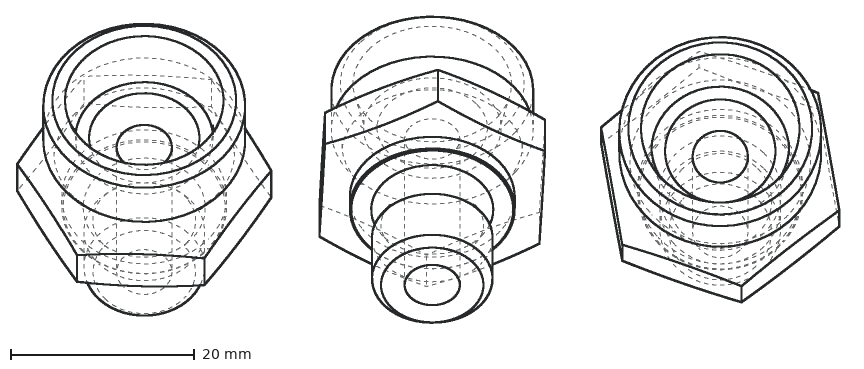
import cadquery as cq
import math

TOTAL_HEIGHT = 32.0
STUD_TOP = 7.52
STUD_GROOVE_BOTTOM = 9.0
STUD_GROOVE_TOP = 10.18
COLLAR_BOTTOM = 12.0
HEX_BOTTOM = 14.0
HEX_TOP = 20.0
NECK_BOTTOM = 21.0
NECK_TOP = 22.6
HEAD_BOTTOM = 24.65
END_CHAMFER = 1.0

STUD_RADIUS = 13.15 / 2
STUD_GROOVE_END_RADIUS = 5.75
STUD_GROOVE_THROAT_RADIUS = 5.6
STUD_CONE_TOP_RADIUS = 6.65
COLLAR_RADIUS = 18.0 / 2
COLLAR_CHAMFER = 0.15
NECK_RADIUS = 19.7 / 2
NECK_FILLET_RADIUS = 1.0
HEAD_RADIUS = 22.0 / 2

HEX_ACROSS_FLATS = 24.0
HEX_CHAMFER_ANGLE = 15.0

MOUTH_RADIUS = 8.65
SOCKET_RADIUS = 15.0 / 2
SEAT_CONE_ANGLE = 12.0
SOCKET_DEPTH = 7.0
FUNNEL_RADIUS = 6.0
BORE_RADIUS = 6.0 / 2
FUNNEL_ANGLE = 60.0


def revolve_profile(profile):
    """Turn a closed radius-height outline about the Z axis."""
    return profile.close().revolve(360, (0, 0, 0), (0, 1, 0))


def make_turned_body():
    flare = NECK_BOTTOM - HEX_TOP
    diagonal = flare * (1 - math.sqrt(0.5))

    cone_angle = math.atan((HEAD_RADIUS - NECK_RADIUS) / (HEAD_BOTTOM - NECK_TOP))
    fillet_start = NECK_TOP - NECK_FILLET_RADIUS * math.tan(cone_angle / 2)

    def neck_fillet_point(angle):
        return (
            NECK_RADIUS + NECK_FILLET_RADIUS * (1 - math.cos(angle)),
            fillet_start + NECK_FILLET_RADIUS * math.sin(angle),
        )

    return revolve_profile(
        cq.Workplane("XZ")
        .moveTo(0, 0)
        .lineTo(STUD_RADIUS - END_CHAMFER, 0)
        .lineTo(STUD_RADIUS, END_CHAMFER)
        .lineTo(STUD_RADIUS, STUD_TOP)
        .lineTo(STUD_GROOVE_END_RADIUS, STUD_GROOVE_BOTTOM)
        .threePointArc(
            (STUD_GROOVE_THROAT_RADIUS, (STUD_GROOVE_BOTTOM + STUD_GROOVE_TOP) / 2),
            (STUD_GROOVE_END_RADIUS, STUD_GROOVE_TOP),
        )
        .lineTo(STUD_CONE_TOP_RADIUS, COLLAR_BOTTOM)
        .lineTo(COLLAR_RADIUS - COLLAR_CHAMFER, COLLAR_BOTTOM)
        .lineTo(COLLAR_RADIUS, COLLAR_BOTTOM + COLLAR_CHAMFER)
        .lineTo(COLLAR_RADIUS, HEX_TOP)
        .lineTo(NECK_RADIUS + flare, HEX_TOP)
        .threePointArc((NECK_RADIUS + diagonal, HEX_TOP + diagonal), (NECK_RADIUS, NECK_BOTTOM))
        .lineTo(NECK_RADIUS, fillet_start)
        .threePointArc(neck_fillet_point(cone_angle / 2), neck_fillet_point(cone_angle))
        .lineTo(HEAD_RADIUS, HEAD_BOTTOM)
        .lineTo(HEAD_RADIUS, TOTAL_HEIGHT - END_CHAMFER)
        .lineTo(HEAD_RADIUS - END_CHAMFER, TOTAL_HEIGHT)
        .lineTo(0, TOTAL_HEIGHT)
    )


def make_hexagon():
    """Hexagon with flats facing +X and -X and both faces chamfered by a cone."""
    flat_radius = HEX_ACROSS_FLATS / 2
    corner_radius = flat_radius / math.cos(math.pi / 6)
    drop = (corner_radius - flat_radius) * math.tan(math.radians(HEX_CHAMFER_ANGLE))
    prism = (
        cq.Workplane("XY")
        .workplane(offset=HEX_BOTTOM)
        .polygon(6, 2 * corner_radius)
        .extrude(HEX_TOP - HEX_BOTTOM)
        .rotate((0, 0, 0), (0, 0, 1), 30)
    )
    envelope = revolve_profile(
        cq.Workplane("XZ")
        .moveTo(0, HEX_BOTTOM)
        .lineTo(flat_radius, HEX_BOTTOM)
        .lineTo(corner_radius, HEX_BOTTOM + drop)
        .lineTo(corner_radius, HEX_TOP - drop)
        .lineTo(flat_radius, HEX_TOP)
        .lineTo(0, HEX_TOP)
    )
    return prism.intersect(envelope)


def make_bore():
    """Tube socket with a conical mouth, a flat stop, a funnel and a through hole."""
    mouth_depth = (MOUTH_RADIUS - SOCKET_RADIUS) / math.tan(math.radians(SEAT_CONE_ANGLE))
    funnel_depth = (FUNNEL_RADIUS - BORE_RADIUS) / math.tan(math.radians(FUNNEL_ANGLE))
    stop_height = TOTAL_HEIGHT - SOCKET_DEPTH
    return revolve_profile(
        cq.Workplane("XZ")
        .moveTo(0, 0)
        .lineTo(BORE_RADIUS, 0)
        .lineTo(BORE_RADIUS, stop_height - funnel_depth)
        .lineTo(FUNNEL_RADIUS, stop_height)
        .lineTo(SOCKET_RADIUS, stop_height)
        .lineTo(SOCKET_RADIUS, TOTAL_HEIGHT - mouth_depth)
        .lineTo(MOUTH_RADIUS, TOTAL_HEIGHT)
        .lineTo(0, TOTAL_HEIGHT)
    )


result = make_turned_body().union(make_hexagon()).cut(make_bore())